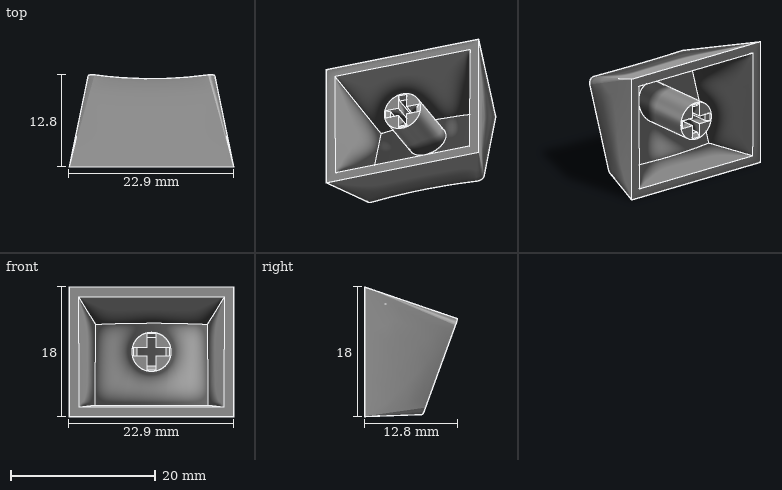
import cadquery as cq
import math

RIM_WIDTH = 22.85
RIM_HEIGHT = 18.0
WALL = 1.3

TIP_TILT = 20.0
TIP_WIDTH = 17.65
TIP_LENGTH = 14.17
TIP_CENTER_Y = 10.5
TIP_CENTER_Z = -2.05
TIP_CORNER_RADIUS = 1.0
RIM_CORNER_RADIUS = 0.02

DISH_RADIUS = 54.85
DISH_DEPTH = 0.69

OPENING_TOP_WIDTH = 20.25
OPENING_BOTTOM_WIDTH = 20.09
OPENING_TOP_WALL = 1.37
OPENING_BOTTOM_WALL = 1.33
FLOOR_TOP_WIDTH = 15.5
FLOOR_BOTTOM_WIDTH = 15.72
FLOOR_TOP_Z = 3.8
FLOOR_BOTTOM_Z = -7.4

STEM_DIAMETER = 5.44
CROSS_SPAN = 5.03
CROSS_UPRIGHT_WIDTH = 1.23
CROSS_BAR_WIDTH = 1.15
CROSS_END_CHAMFER = 0.53

TILT = math.radians(TIP_TILT)
TIP_NORMAL = cq.Vector(0, math.cos(TILT), -math.sin(TILT))
TIP_CENTER = cq.Vector(0, TIP_CENTER_Y, TIP_CENTER_Z)
RIM_PLANE = cq.Plane(origin=(0, 0, 0), xDir=(-1, 0, 0), normal=(0, 1, 0))
TIP_PLANE = cq.Plane(origin=TIP_CENTER.toTuple(), xDir=(-1, 0, 0), normal=TIP_NORMAL.toTuple())


def rounded_wire(plane, width, height, radius):
    """Rectangle with rounded corners, drawn in a fixed order so that sections match."""
    x = width / 2
    y = height / 2
    bulge = radius * (1 - math.sqrt(0.5))
    outline = (
        cq.Workplane(plane)
        .moveTo(radius - x, -y)
        .lineTo(x - radius, -y)
        .threePointArc((x - bulge, bulge - y), (x, radius - y))
        .lineTo(x, y - radius)
        .threePointArc((x - bulge, y - bulge), (x - radius, y))
        .lineTo(radius - x, y)
        .threePointArc((bulge - x, y - bulge), (-x, y - radius))
        .lineTo(-x, radius - y)
        .threePointArc((bulge - x, bulge - y), (radius - x, -y))
        .close()
    )
    return outline.val()


def trapezoid_wire(bottom_width, top_width, bottom, top):
    """Trapezoid from two (y, z) edge positions, level along X."""
    corners = [
        cq.Vector(-bottom_width / 2, *bottom),
        cq.Vector(bottom_width / 2, *bottom),
        cq.Vector(top_width / 2, *top),
        cq.Vector(-top_width / 2, *top),
    ]
    return cq.Wire.makePolygon(corners, close=True)


def dish_cylinder(radius):
    """Cylinder along the tip slope, concentric with the dish."""
    axis_center = TIP_CENTER + TIP_NORMAL * (DISH_RADIUS - DISH_DEPTH)
    slope = TIP_PLANE.yDir
    length = 3 * RIM_HEIGHT
    return cq.Solid.makeCylinder(radius, length, axis_center - slope * (length / 2), slope)


def make_body():
    """Solid outer form with the dish cut into its tip."""
    rim = rounded_wire(RIM_PLANE, RIM_WIDTH, RIM_HEIGHT, RIM_CORNER_RADIUS)
    tip = rounded_wire(TIP_PLANE, TIP_WIDTH, TIP_LENGTH, TIP_CORNER_RADIUS)
    body = cq.Solid.makeLoft([rim, tip], True)
    return cq.Workplane(body).cut(cq.Workplane(dish_cylinder(DISH_RADIUS)))


def floor_edge(z):
    """(y, z) of the floor's side edges, one wall below the dish."""
    floor_radius = DISH_RADIUS + WALL
    sag = floor_radius - math.sqrt(floor_radius**2 - (FLOOR_BOTTOM_WIDTH / 2) ** 2)
    depth = DISH_DEPTH + WALL - sag
    y = TIP_CENTER_Y + (z - TIP_CENTER_Z) * math.tan(TILT) - depth / math.cos(TILT)
    return (y, z)


def make_cavity():
    """Tapered hollow whose floor is concentric with the dish."""
    opening = trapezoid_wire(
        OPENING_BOTTOM_WIDTH,
        OPENING_TOP_WIDTH,
        (0, OPENING_BOTTOM_WALL - RIM_HEIGHT / 2),
        (0, RIM_HEIGHT / 2 - OPENING_TOP_WALL),
    )
    floor = trapezoid_wire(
        FLOOR_BOTTOM_WIDTH,
        FLOOR_TOP_WIDTH,
        floor_edge(FLOOR_BOTTOM_Z),
        floor_edge(FLOOR_TOP_Z),
    )
    cavity = cq.Solid.makeLoft([opening, floor], True)
    return cq.Workplane(cavity).cut(cq.Workplane(dish_cylinder(DISH_RADIUS + WALL)))


def slot(width, height, x_chamfer, z_chamfer):
    """Straight slot with a 45 degree lead-in, reaching from the rim into the tip wall."""
    narrow_width = width - 2 * x_chamfer
    narrow_height = height - 2 * z_chamfer
    lead_in = (
        cq.Workplane(RIM_PLANE)
        .rect(width, height)
        .workplane(offset=CROSS_END_CHAMFER)
        .rect(narrow_width, narrow_height)
        .loft(ruled=True)
    )
    return lead_in.union(cq.Workplane(RIM_PLANE).rect(narrow_width, narrow_height).extrude(TIP_CENTER_Y))


def make_stem():
    """Round post, flush with the rim, with a cross socket along its full length."""
    post = cq.Workplane(RIM_PLANE).circle(STEM_DIAMETER / 2).extrude(TIP_CENTER_Y)
    upright = slot(CROSS_UPRIGHT_WIDTH, CROSS_SPAN, 0, CROSS_END_CHAMFER)
    bar = slot(CROSS_SPAN, CROSS_BAR_WIDTH, CROSS_END_CHAMFER, 0)
    return post.cut(upright).cut(bar)


cavity = make_cavity()
result = make_body().cut(cavity).union(make_stem().intersect(cavity))